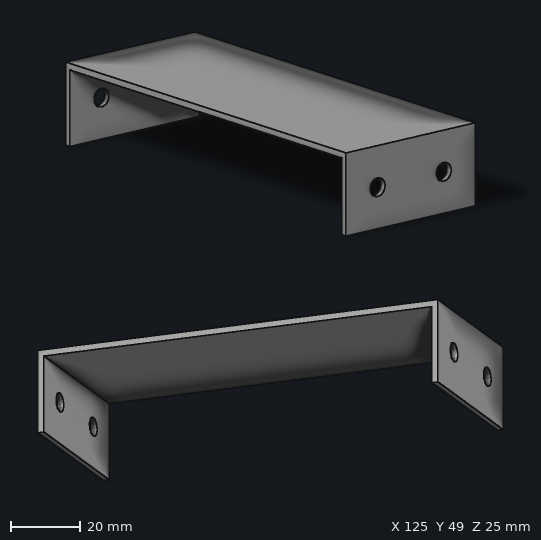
import cadquery as cq

length = 125.0
width = 49.0
height = 25.0
wall = 2.0
hole_diameter = 5.5
hole_spacing = 25.0


def make_channel():
    """Flat top plate with a flange hanging down at each end."""
    block = cq.Workplane("XY").box(length, width, height)
    opening = (
        cq.Workplane("XY")
        .box(length - 2 * wall, width, height)
        .translate((0, 0, -wall))
    )
    return block.cut(opening)


def make_flange_holes():
    """Two bores along X, at mid-height, passing through both flanges."""
    return (
        cq.Workplane("YZ")
        .rarray(hole_spacing, 1.2, 2, 1)
        .circle(hole_diameter / 2)
        .extrude(length / 2, both=True)
    )


result = make_channel().cut(make_flange_holes())